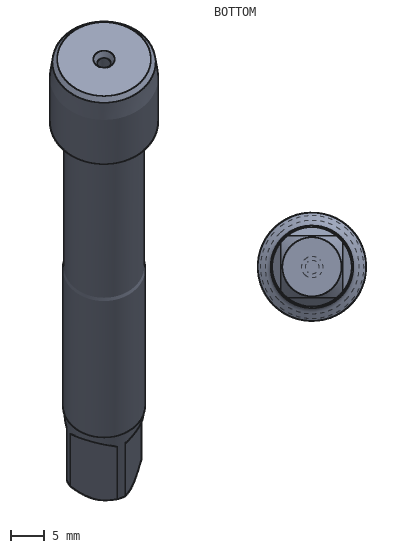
import cadquery as cq
import math

length = 100.0

drive_radius = 11.7 / 2
drive_top = 17.25
square_width = 9.14
flat_top = 14.3
tip_radius = 4.35
tip_chamfer_height = 1.7
runout_angle = 45.0

shank_radius = 12.19 / 2
shank_top = 49.9
shank_chamfer_height = 0.6
neck_radius = 11.89 / 2
neck_top = 83.1

head_radius = 16.0 / 2
head_bottom = 85.1
shoulder_angle = 30.0
taper_bottom = 95.7
taper_top_radius = 7.6
top_chamfer_height = 0.7
top_face_radius = 6.9

hole_radius = 2.0 / 2
hole_depth = 4.0
hole_tip_angle = 118.0
countersink_radius = 3.15 / 2
countersink_angle = 60.0


def revolve_profile(profile):
    """Spin a closed profile drawn in (radius, height) about the Z axis."""
    return profile.close().revolve(360, (0, 0, 0), (0, 1, 0))


def make_body():
    """Turned body: drive, shank, neck and tapered head."""
    slope = math.radians(shoulder_angle)
    shoulder_reach = head_radius - neck_radius
    fillet_radius = (head_bottom - neck_top - shoulder_reach * math.tan(slope)) / (
        (1 - math.sin(slope)) / math.cos(slope)
    )
    fillet_centre = neck_radius + fillet_radius

    def fillet_point(angle):
        return (fillet_centre - fillet_radius * math.cos(angle), neck_top + fillet_radius * math.sin(angle))

    fillet_sweep = math.pi / 2 - slope
    profile = (
        cq.Workplane("XZ")
        .moveTo(0, 0)
        .lineTo(tip_radius, 0)
        .lineTo(drive_radius, tip_chamfer_height)
        .lineTo(drive_radius, drive_top)
        .lineTo(shank_radius, drive_top)
        .lineTo(shank_radius, shank_top)
        .lineTo(neck_radius, shank_top + shank_chamfer_height)
        .lineTo(neck_radius, neck_top)
        .threePointArc(fillet_point(fillet_sweep / 2), fillet_point(fillet_sweep))
        .lineTo(head_radius, head_bottom)
        .lineTo(head_radius, taper_bottom)
        .lineTo(taper_top_radius, length - top_chamfer_height)
        .lineTo(top_face_radius, length)
        .lineTo(0, length)
    )
    return revolve_profile(profile)


def make_flat_cutter():
    """Cutter for the flat on the +X side, with a sloped run-out at its top."""
    inner = square_width / 2
    outer = head_radius
    runout_height = (outer - inner) * math.tan(math.radians(runout_angle))
    return (
        cq.Workplane("XZ")
        .moveTo(inner, 0)
        .lineTo(outer, 0)
        .lineTo(outer, flat_top + runout_height)
        .lineTo(inner, flat_top)
        .close()
        .extrude(head_radius, both=True)
    )


def make_centre_hole():
    """Countersunk blind hole with a conical drill tip."""
    countersink_depth = (countersink_radius - hole_radius) / math.tan(math.radians(countersink_angle / 2))
    hole_bottom = length - hole_depth
    tip_height = hole_radius / math.tan(math.radians(hole_tip_angle / 2))
    profile = (
        cq.Workplane("XZ")
        .moveTo(0, length)
        .lineTo(countersink_radius, length)
        .lineTo(hole_radius, length - countersink_depth)
        .lineTo(hole_radius, hole_bottom)
        .lineTo(0, hole_bottom - tip_height)
    )
    return revolve_profile(profile)


result = make_body()
flat_cutter = make_flat_cutter()
for turn in (0, 90, 180, 270):
    result = result.cut(flat_cutter.rotate((0, 0, 0), (0, 0, 1), turn))
result = result.cut(make_centre_hole())